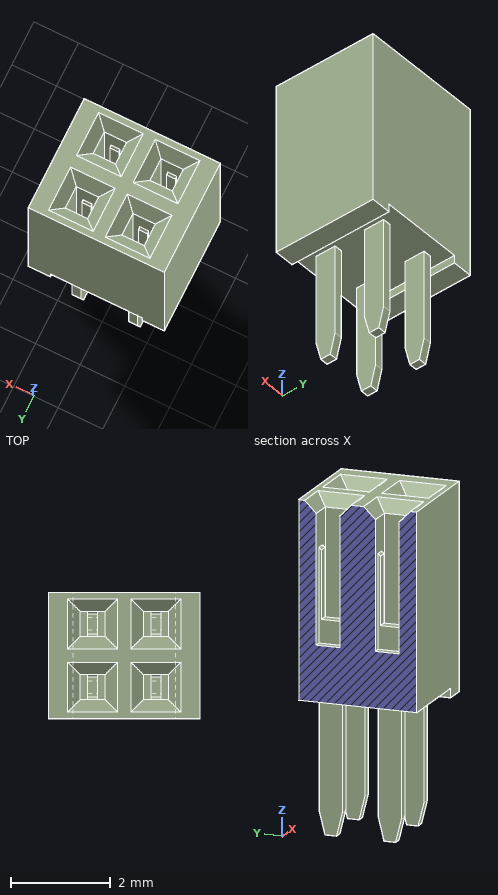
import cadquery as cq

BODY_X = 3.05
BODY_Y = 2.54
BODY_HEIGHT = 4.4
TOTAL_HEIGHT = 7.0
FOOT_WIDTH = 0.5
STANDOFF = 0.2

PITCH = 1.27
CONTACT_CENTERS = [(sx * PITCH / 2, sy * PITCH / 2) for sx in (-1, 1) for sy in (-1, 1)]

FUNNEL_WIDTH = 1.0
SOCKET_WIDTH = 0.5
SOCKET_DEPTH = 3.0
FUNNEL_DEPTH = (FUNNEL_WIDTH - SOCKET_WIDTH) / 2

CONTACT_THICKNESS = 0.2

FORK_HEIGHT = 2.0
FORK_BASE_HEIGHT = 0.5
TINE_THICKNESS = 0.05

PIN_Y = 0.5
PIN_TIP_Y = 0.25
PIN_TAPER = 0.5
PIN_BOTTOM_Z = BODY_HEIGHT - TOTAL_HEIGHT

SOCKET_FLOOR_Z = BODY_HEIGHT - SOCKET_DEPTH


def make_housing():
    """Block on two feet; the gap between the feet runs through along Y."""
    block = cq.Workplane("XY").box(BODY_X, BODY_Y, BODY_HEIGHT, centered=(True, True, False))
    gap = cq.Workplane("XY").box(
        BODY_X - 2 * FOOT_WIDTH, BODY_Y, STANDOFF, centered=(True, True, False)
    )
    return block.cut(gap)


def make_socket():
    """Square blind hole with a pyramidal lead-in at its mouth."""
    hole = (
        cq.Workplane("XY")
        .workplane(offset=SOCKET_FLOOR_Z)
        .rect(SOCKET_WIDTH, SOCKET_WIDTH)
        .extrude(SOCKET_DEPTH)
    )
    funnel = (
        cq.Workplane("XY")
        .workplane(offset=BODY_HEIGHT)
        .rect(FUNNEL_WIDTH, FUNNEL_WIDTH)
        .workplane(offset=-FUNNEL_DEPTH)
        .rect(SOCKET_WIDTH, SOCKET_WIDTH)
        .loft(ruled=True)
    )
    return hole.union(funnel)


def extrude_contact(outline):
    """Flat contact piece from a YZ outline, centred on X = 0."""
    return cq.Workplane("YZ").polyline(outline).close().extrude(CONTACT_THICKNESS / 2, both=True)


def make_fork():
    """U-shaped contact as wide as the socket in Y; its tine tips slope inwards at 45 degrees."""
    wall_y = SOCKET_WIDTH / 2
    inner_y = wall_y - TINE_THICKNESS
    base_top_z = SOCKET_FLOOR_Z + FORK_BASE_HEIGHT
    tip_z = SOCKET_FLOOR_Z + FORK_HEIGHT
    slope_end_z = tip_z - TINE_THICKNESS
    outline = [
        (-wall_y, SOCKET_FLOOR_Z),
        (-wall_y, tip_z),
        (-inner_y, slope_end_z),
        (-inner_y, base_top_z),
        (inner_y, base_top_z),
        (inner_y, slope_end_z),
        (wall_y, tip_z),
        (wall_y, SOCKET_FLOOR_Z),
    ]
    return extrude_contact(outline)


def make_pin():
    """Flat pin, narrowed in Y towards its tip, reaching down from the housing underside."""
    taper_top_z = PIN_BOTTOM_Z + PIN_TAPER
    outline = [
        (-PIN_Y / 2, STANDOFF),
        (-PIN_Y / 2, taper_top_z),
        (-PIN_TIP_Y / 2, PIN_BOTTOM_Z),
        (PIN_TIP_Y / 2, PIN_BOTTOM_Z),
        (PIN_Y / 2, taper_top_z),
        (PIN_Y / 2, STANDOFF),
    ]
    return extrude_contact(outline)


socket = make_socket()
fork = make_fork()
pin = make_pin()

result = make_housing()
for x, y in CONTACT_CENTERS:
    position = (x, y, 0)
    result = result.cut(socket.translate(position))
    result = result.union(fork.translate(position))
    result = result.union(pin.translate(position))